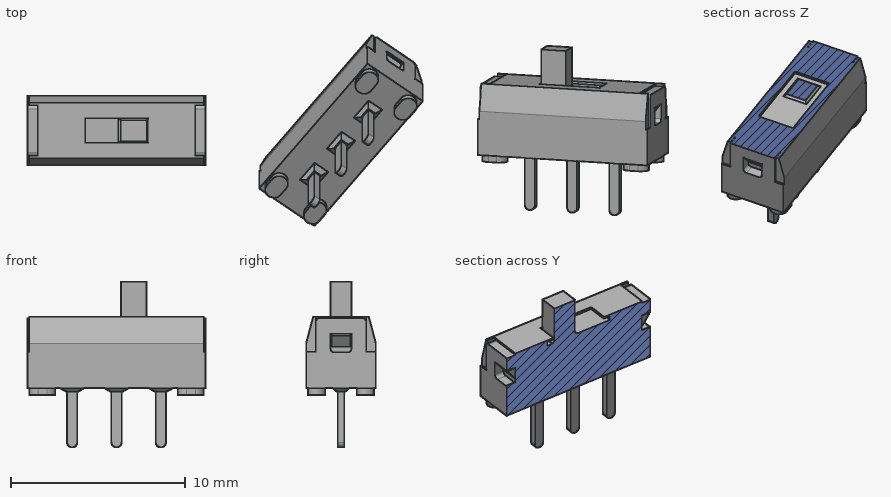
import cadquery as cq
import math

length = 10.2
width = 4.0
ledge_height = 2.09
plate_height = 4.0
plate_thickness = 0.6
plate_width = 2.91
plate_corner_radius = 0.2

cover_inset = 0.1
cover_height = 4.1
cover_kink_height = 2.58
cover_top_width = 3.19

window_width = 1.2
window_bottom = 2.05
window_top = 3.1
window_corner_radius = 0.2
nub_width = 1.08
nub_ramp_bottom = 2.36
nub_ramp_top = 3.0

slot_length = 3.6
slot_width = 1.39
roof_thickness = 0.14
cavity_margin = 0.41
cavity_height = 0.22

knob_length = 1.48
knob_width = 1.2
knob_center_x = 0.99
knob_top = 6.1
knob_flare_radius = 0.24

foot_length = 1.5
foot_width = 1.0
foot_height = 0.4
foot_end_inset = 0.1
foot_center_y = 1.4

pin_pitch = 2.54
pin_width = 0.6
pin_thickness = 0.4
pin_length = 3.4
root_flare_height = 0.2
root_flare_top_length = 1.39
root_flare_top_width = 0.98
root_flare_margin = 0.05

SIDES = (-1, 1)
cover_half_length = length / 2 - cover_inset
plate_inner_x = length / 2 - plate_thickness
roof_underside = cover_height - roof_thickness
cavity_floor = roof_underside - cavity_height


def box(size_x, size_y, bottom, top, center_x=0.0):
    """Upright box between two heights."""
    block = cq.Workplane("XY").box(size_x, size_y, top - bottom, centered=(True, True, False))
    return block.translate((center_x, 0, bottom))


def make_cover():
    """Cover with sloped upper sides, still solid where the end plates go."""
    profile = [
        (-width / 2, ledge_height),
        (width / 2, ledge_height),
        (width / 2, cover_kink_height),
        (cover_top_width / 2, cover_height),
        (-cover_top_width / 2, cover_height),
        (-width / 2, cover_kink_height),
    ]
    return cq.Workplane("YZ").polyline(profile).close().extrude(cover_half_length, both=True)


def plate_space(side):
    """Notch in the cover that takes one end plate, open at the top."""
    center_x = side * (length - plate_thickness) / 2
    return box(plate_thickness, plate_width, ledge_height, cover_height, center_x)


def make_plate(side):
    """End plate with rounded top corners, and the cutter for its window with rounded bottom corners."""
    center_x = side * (length - plate_thickness) / 2
    plate = box(plate_thickness, plate_width, 0, plate_height, center_x)
    plate = plate.edges("|X and >Z").fillet(plate_corner_radius)
    window = box(plate_thickness, window_width, window_bottom, window_top, center_x)
    window = window.edges("|X and <Z").fillet(window_corner_radius)
    return plate, window


def make_nub(side):
    """Snap nub in a window: flat tip flush with the cover end, ramp below it."""
    profile = [
        (side * plate_inner_x, nub_ramp_bottom),
        (side * cover_half_length, nub_ramp_top),
        (side * cover_half_length, window_top),
        (side * plate_inner_x, window_top),
    ]
    return cq.Workplane("XZ").polyline(profile).close().extrude(nub_width / 2, both=True)


def flare_reach(height):
    """Sideways reach of the knob flare at a height above the cavity floor.

    The arc leaves the knob face level with the roof underside and meets the floor at an angle.
    """
    drop = cavity_height - height
    return knob_flare_radius - math.sqrt(knob_flare_radius ** 2 - drop ** 2)


def flared_bar(plane, size, depth):
    """Bar of constant section: straight sides above, concave flares at the foot."""
    half = size / 2
    foot = half + flare_reach(0)
    middle = half + flare_reach(cavity_height / 2)
    middle_z = cavity_floor + cavity_height / 2
    outline = (
        cq.Workplane(plane)
        .moveTo(-foot, cavity_floor)
        .lineTo(foot, cavity_floor)
        .threePointArc((middle, middle_z), (half, roof_underside))
        .lineTo(half, knob_top)
        .lineTo(-half, knob_top)
        .lineTo(-half, roof_underside)
        .threePointArc((-middle, middle_z), (-foot, cavity_floor))
        .close()
    )
    return outline.extrude(depth, both=True)


def make_knob():
    """Knob whose flares meet in mitres at the four corners."""
    along_x = flared_bar("XZ", knob_length, knob_width)
    along_y = flared_bar("YZ", knob_width, knob_length)
    return along_x.intersect(along_y).translate((knob_center_x, 0, 0))


def make_slot():
    """Slot through the roof together with the cavity below it."""
    slot = box(slot_length, slot_width, cavity_floor, cover_height)
    cavity_length = slot_length + 2 * cavity_margin
    cavity_width = slot_width + 2 * cavity_margin
    return slot.union(box(cavity_length, cavity_width, cavity_floor, roof_underside))


def make_feet():
    """Four obround standoffs under the corners."""
    center_x = length / 2 - foot_end_inset - foot_length / 2
    centers = [(i * center_x, j * foot_center_y) for i in SIDES for j in SIDES]
    return cq.Workplane("XY").pushPoints(centers).slot2D(foot_length, foot_width).extrude(-foot_height)


def make_pin(center_x):
    """Flat pin with a fully rounded tip and a tapered flare at its root."""
    half = pin_width / 2
    pin = (
        cq.Workplane("XZ")
        .moveTo(-half, 0)
        .lineTo(-half, half - pin_length)
        .threePointArc((0, -pin_length), (half, half - pin_length))
        .lineTo(half, 0)
        .close()
        .extrude(pin_thickness / 2, both=True)
    )
    flare = (
        cq.Workplane("XY")
        .rect(root_flare_top_length, root_flare_top_width)
        .workplane(offset=-root_flare_height)
        .rect(pin_width + 2 * root_flare_margin, pin_thickness + 2 * root_flare_margin)
        .loft()
    )
    return pin.union(flare).translate((center_x, 0, 0))


result = box(length, width, 0, ledge_height).union(make_cover())

for side in SIDES:
    plate, window = make_plate(side)
    result = result.cut(plate_space(side)).union(plate).cut(window).union(make_nub(side))

result = result.cut(make_slot()).union(make_knob())
result = result.union(make_feet())

for index in (-1, 0, 1):
    result = result.union(make_pin(index * pin_pitch))